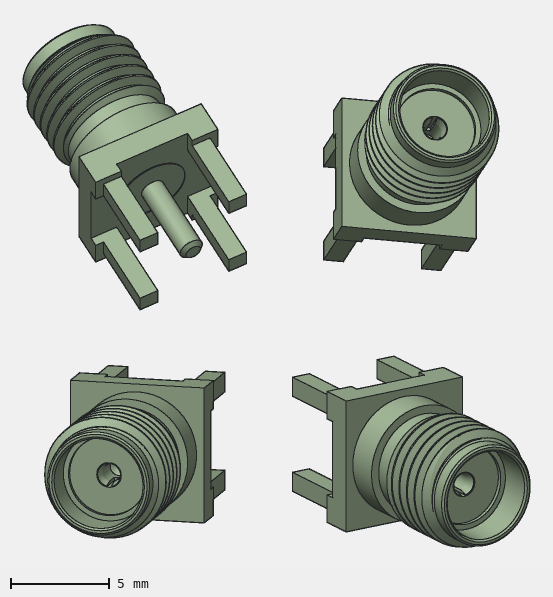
import cadquery as cq
import math


thread_start = 0.78
thread_end = 5.0
collar_start = 5.98
flange_front = 7.73
notch_floor = 9.03
flange_back = 9.53
overall_length = 13.47

barrel_radius = 5.33 / 2
collar_radius = 6.2 / 2
flange_side = 7.0
mouth_chamfer = 0.1

thread_radius = 6.31 / 2
thread_pitch = 25.4 / 36
thread_root_radius = 2.74
crest_width = 0.1
crest_phase = 1.345
flank_slope = math.tan(math.radians(30))
cutter_overlap = 0.05

bore_radius = 4.65 / 2
bore_depth = 1.9
insulator_radius = 4.1 / 2
insulator_recess = 0.23
insulator_front = bore_depth + insulator_recess
insulator_back_radius = 3.73 / 2
insulator_protrusion = 0.05

contact_radius = 1.27 / 2
contact_hole_radius = 0.95 / 2
contact_setback = 0.05
contact_front = insulator_front + contact_setback
contact_hole_depth = 2.0
contact_point_angle = 118
contact_rim = 0.035
countersink_depth = 0.5
contact_slot_width = 0.25
contact_slot_depth = 1.5
pin_tip_chamfer = 0.22

leg_side = 1.02
leg_offset = 2.54
notch_width = 2 * leg_offset - leg_side


def cylinder(x_start, x_end, radius):
    return cq.Workplane("YZ", origin=(x_start, 0, 0)).circle(radius).extrude(x_end - x_start)


def block(x_start, x_end, y_size, z_size, y=0, z=0):
    section = cq.Workplane("YZ", origin=(x_start, y, z)).rect(y_size, z_size)
    return section.extrude(x_end - x_start)


def cone(x_base, base_radius, height, end_radius=0):
    """Cone, or a frustum if end_radius is given, narrowing from x_base towards +X."""
    base = cq.Vector(x_base, 0, 0)
    return cq.Workplane(cq.Solid.makeCone(base_radius, end_radius, height, base, cq.Vector(1, 0, 0)))


def thread_groove():
    """Right-handed helical groove, longer than the thread so that it runs out through both ends."""
    groove_start = crest_phase - 1.5 * thread_pitch
    groove_end = (thread_end + collar_start) / 2
    cutter_radius = thread_radius + cutter_overlap
    root_half = (thread_pitch - crest_width) / 2 - (thread_radius - thread_root_radius) * flank_slope
    outer_half = root_half + (cutter_radius - thread_root_radius) * flank_slope
    helix = cq.Wire.makeHelix(thread_pitch, groove_end - groove_start, thread_root_radius)
    profile = cq.Workplane("XZ").polyline(
        [
            (thread_root_radius, -root_half),
            (cutter_radius, -outer_half),
            (cutter_radius, outer_half),
            (thread_root_radius, root_half),
        ]
    ).close()
    groove = profile.sweep(cq.Workplane(helix), isFrenet=True)
    groove = groove.rotate((0, 0, 0), (0, 1, 0), 90).rotate((0, 0, 0), (1, 0, 0), 180)
    return groove.translate((groove_start, 0, 0))


def threaded_section():
    rise = thread_radius - barrel_radius
    blank = cylinder(thread_start, thread_end, thread_radius).edges().chamfer(rise)
    return blank.cut(thread_groove())


def shell():
    barrel = cylinder(0, collar_start, barrel_radius).faces("<X").edges().chamfer(mouth_chamfer)
    collar = cylinder(collar_start, flange_front, collar_radius)
    return barrel.union(threaded_section()).union(collar)


def bore():
    """Stepped mating bore down to the insulator face, chamfered at the mouth."""
    mouth_radius = bore_radius + mouth_chamfer
    return (
        cylinder(0, bore_depth, bore_radius)
        .union(cylinder(0, insulator_front, insulator_radius))
        .union(cone(0, mouth_radius, mouth_chamfer, bore_radius))
    )


def flange_with_legs():
    """Square flange whose back is notched into four corner pads, each carrying a leg."""
    body = block(flange_front, flange_back, flange_side, flange_side)
    body = body.cut(block(notch_floor, flange_back, flange_side, notch_width))
    body = body.cut(block(notch_floor, flange_back, notch_width, flange_side))
    for y in (-leg_offset, leg_offset):
        for z in (-leg_offset, leg_offset):
            body = body.union(block(notch_floor, overall_length, leg_side, leg_side, y, z))
    return body


def contact_socket():
    """Countersunk, cone-bottomed hole in the contact, with a slot across it along Z.

    The contact sits slightly behind the insulator face.
    """
    hole_end = contact_front + contact_hole_depth
    hole = cylinder(contact_front, hole_end, contact_hole_radius)
    point_height = contact_hole_radius / math.tan(math.radians(contact_point_angle / 2))
    point = cone(hole_end, contact_hole_radius, point_height)
    mouth_radius = contact_radius - contact_rim
    countersink = cone(contact_front, mouth_radius, countersink_depth, contact_hole_radius)
    slot_end = contact_front + contact_slot_depth
    slot = block(contact_front, slot_end, contact_slot_width, 2 * contact_radius)
    slot = slot.intersect(cylinder(contact_front, slot_end, contact_radius))
    setback = cylinder(insulator_front, contact_front, contact_radius)
    return setback.union(hole).union(point).union(countersink).union(slot)


def tail():
    """Back of the insulator and the centre pin."""
    insulator = cylinder(notch_floor, notch_floor + insulator_protrusion, insulator_back_radius)
    pin = cylinder(notch_floor, overall_length, contact_radius)
    pin = pin.faces(">X").edges().chamfer(pin_tip_chamfer)
    return insulator.union(pin)


result = shell().union(flange_with_legs()).union(tail()).cut(bore()).cut(contact_socket())